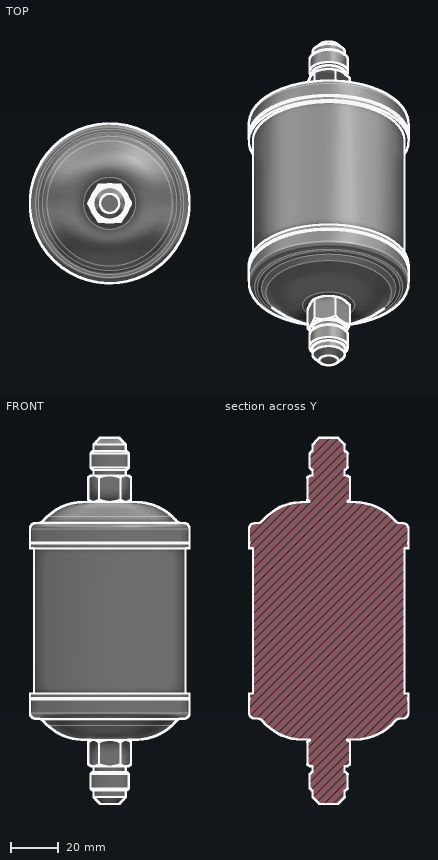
import cadquery as cq
import math


half_length = 76.5
dome_top = 49.7
rim_top = 40.9
cap_bottom = 30.3

shell_radius = 31.75
cap_radius = 33.44
cap_corner_radius = 2.5
groove_top = 32.8
groove_width = 0.5
groove_depth = 0.15

dome_flat_radius = 10.9
shoulder_radius = 22.2
skirt_angle = math.radians(43.5)
rim_inner_radius = 29.8
rim_fillet_radius = 2.5

hex_across_flats = 15.6
hex_top = 60.8
hex_chamfer_start_radius = 7.8
hex_chamfer_height = 0.9
neck_radius = 6.8
flare_tip_radius = 4.0
flare_height = 2.9
thread_radius = 8.05
thread_bottom = 63.1
thread_top = 70.9
thread_bevel = 0.95


def revolve_profile(profile):
    """Turn a closed radius-height profile around the Z axis."""
    return profile.close().revolve(360, (0, 0, 0), (0, 1, 0))


def arc_point(center, radius, angle):
    """Point on a circle, with the angle measured from straight up toward +radius."""
    return (center[0] + radius * math.sin(angle), center[1] + radius * math.cos(angle))


def make_shell():
    """Plain cylinder reaching up to both end caps."""
    return cq.Workplane("XY").circle(shell_radius).extrude(cap_bottom, both=True)


def make_end_cap():
    """Upper end cap: grooved band, rounded rim and dome."""
    shoulder_center = (dome_flat_radius, dome_top - shoulder_radius)
    shoulder_mid = arc_point(shoulder_center, shoulder_radius, skirt_angle / 2)
    shoulder_end = arc_point(shoulder_center, shoulder_radius, skirt_angle)

    fillet_center = (rim_inner_radius, rim_top + rim_fillet_radius)
    fillet_start = arc_point(fillet_center, -rim_fillet_radius, skirt_angle)
    fillet_mid = arc_point(fillet_center, -rim_fillet_radius, skirt_angle / 2)

    corner_center = (cap_radius - cap_corner_radius, rim_top - cap_corner_radius)
    corner_mid = arc_point(corner_center, cap_corner_radius, math.radians(45))

    groove_floor_radius = cap_radius - groove_depth
    groove_bottom = groove_top - groove_width

    profile = (
        cq.Workplane("XZ")
        .moveTo(0, cap_bottom)
        .lineTo(cap_radius, cap_bottom)
        .lineTo(cap_radius, groove_bottom)
        .lineTo(groove_floor_radius, groove_bottom)
        .lineTo(groove_floor_radius, groove_top)
        .lineTo(cap_radius, groove_top)
        .lineTo(cap_radius, corner_center[1])
        .threePointArc(corner_mid, (corner_center[0], rim_top))
        .lineTo(rim_inner_radius, rim_top)
        .threePointArc(fillet_mid, fillet_start)
        .lineTo(*shoulder_end)
        .threePointArc(shoulder_mid, (dome_flat_radius, dome_top))
        .lineTo(0, dome_top)
    )
    return revolve_profile(profile)


def make_hex():
    """Wrench hex with its corners on the X axis, chamfered at both ends."""
    across_corners = hex_across_flats / math.cos(math.radians(30))
    corner_radius = across_corners / 2
    prism = (
        cq.Workplane("XY", origin=(0, 0, dome_top))
        .polygon(6, across_corners)
        .extrude(hex_top - dome_top)
    )
    chamfer_envelope = revolve_profile(
        cq.Workplane("XZ")
        .moveTo(0, dome_top)
        .lineTo(hex_chamfer_start_radius, dome_top)
        .lineTo(corner_radius, dome_top + hex_chamfer_height)
        .lineTo(corner_radius, hex_top - hex_chamfer_height)
        .lineTo(hex_chamfer_start_radius, hex_top)
        .lineTo(0, hex_top)
    )
    return prism.intersect(chamfer_envelope)


def make_flare_end():
    """Neck, threaded band with 45 degree bevels and conical flare seat."""
    bevel_radius = thread_radius - thread_bevel
    profile = (
        cq.Workplane("XZ")
        .moveTo(0, hex_top)
        .lineTo(neck_radius, hex_top)
        .lineTo(neck_radius, thread_bottom)
        .lineTo(bevel_radius, thread_bottom)
        .lineTo(thread_radius, thread_bottom + thread_bevel)
        .lineTo(thread_radius, thread_top - thread_bevel)
        .lineTo(bevel_radius, thread_top)
        .lineTo(neck_radius, thread_top)
        .lineTo(neck_radius, half_length - flare_height)
        .lineTo(flare_tip_radius, half_length)
        .lineTo(0, half_length)
    )
    return revolve_profile(profile)


upper_end = make_end_cap().union(make_hex()).union(make_flare_end())
lower_end = upper_end.mirror("XY")
result = make_shell().union(upper_end).union(lower_end)